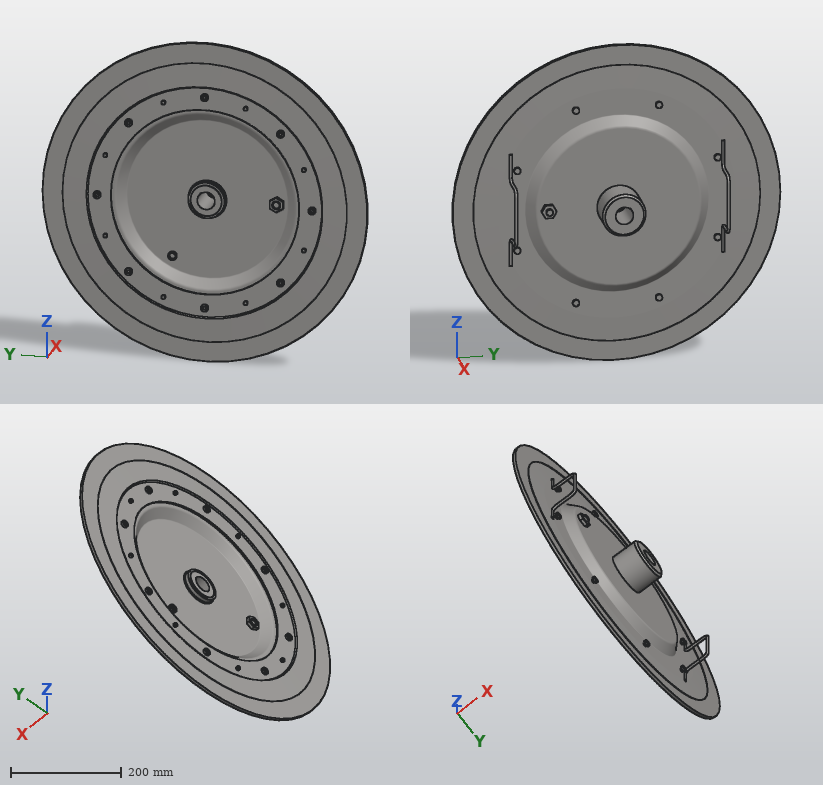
import cadquery as cq
import math


disc_radius = 302.5
seal_half_thickness = 3.0

cover_radius = 265.0
edge_half_thickness = 3.95
lip_radius = 220.0
lip_half_thickness = 5.2
recess_radius = 218.0
recess_front_x = -2.5
sheet_thickness = 4.0
flange_back_x = lip_half_thickness
flange_front_x = flange_back_x - sheet_thickness
recess_inner_radius = 175.5
floor_back_x = 22.5
floor_front_x = floor_back_x - sheet_thickness
dish_mouth_radius = 167.5
dish_mouth_outer_bend = 6.5
dish_mouth_inner_bend = dish_mouth_outer_bend - sheet_thickness
dish_floor_inner_bend = 3.0
dish_floor_outer_bend = dish_floor_inner_bend + sheet_thickness

hub_radius = 40.0
hub_back_x = 76.0
hub_chamfer = 4.0
collar_foot_radius = 35.5
collar_foot_x = 16.5
collar_radius = 34.0
collar_front_x = 8.5
collar_face_radius = 29.0
collar_face_x = 6.5
hub_bore_radius = 16.5

fastener_pairs = 8
bolt_circle_radius = 200.0
bolt_front_x = -6.5
screw_head_radius = 6.5
screw_socket_radius = 3.0
screw_socket_depth = 2.5
stud_radius = 3.5
stud_nut_radius = 6.0
stud_nut_front_x = 8.5
stud_back_x = 13.0

fitting_circle_radius = 129.5
plug_nut_width = 24.0
plug_nut_height = 6.5
plug_radius = 6.0
plug_back_x = 34.0
plug_socket_radius = 8.0
plug_socket_depth = 0.5
plug_bore_radius = 6.0
plug_bore_depth = 1.0
tube_angle = -60.0
tube_radius = 8.0
tube_bore_radius = 6.0
tube_height = 5.0

handle_y = 196.0
handle_rod_radius = 2.55
handle_foot_x = 5.5
handle_grip_x = 57.0
handle_half_span = 54.5
handle_foot_end_z = 107.0
handle_bend_radius = 12.0


def rod_along_x(radius, start_x, end_x, y=0.0, z=0.0):
    return cq.Workplane("YZ", origin=(start_x, y, z)).circle(radius).extrude(end_x - start_x)


def hexagon_along_x(width, start_x, end_x, y, z, turn):
    """Hexagonal prism; with no turn two corners point along Y."""
    corner_diameter = width / math.cos(math.pi / 6)
    prism = cq.Workplane("YZ").polygon(6, corner_diameter).extrude(end_x - start_x)
    return prism.rotate((0, 0, 0), (1, 0, 0), turn).translate((start_x, y, z))


def point_on_circle(radius, angle):
    """Y and Z of a point at an angle from +Y towards +Z."""
    return radius * math.cos(math.radians(angle)), radius * math.sin(math.radians(angle))


def make_seal_ring():
    width = 2 * seal_half_thickness
    ring = cq.Workplane("YZ", origin=(-seal_half_thickness, 0, 0)).circle(disc_radius)
    return ring.circle(cover_radius).extrude(width)


def bend_points(corner, bend_radius, centre_side):
    """Flat end, middle and wall end of an arc that rounds a flat-to-45-degree-wall corner.

    centre_side is 1 where the arc centre lies towards +X, with the flat outside the corner,
    and -1 where it lies towards -X, with the flat inside the corner.
    """
    corner_x, corner_radius = corner
    setback = bend_radius * math.tan(math.pi / 8)
    flat_end = (corner_x, corner_radius + centre_side * setback)
    middle = (
        corner_x + centre_side * bend_radius * (1 - math.cos(math.pi / 8)),
        flat_end[1] - centre_side * bend_radius * math.sin(math.pi / 8),
    )
    wall_end = (
        corner_x + centre_side * setback * math.sqrt(0.5),
        corner_radius - centre_side * setback * math.sqrt(0.5),
    )
    return flat_end, middle, wall_end


def make_dished_cover():
    floor_radius = dish_mouth_radius - (floor_front_x - flange_front_x)
    skin_shift = sheet_thickness * math.tan(math.pi / 8)
    front_mouth = bend_points((flange_front_x, dish_mouth_radius), dish_mouth_outer_bend, 1)
    front_floor = bend_points((floor_front_x, floor_radius), dish_floor_inner_bend, -1)
    back_floor = bend_points((floor_back_x, floor_radius + skin_shift), dish_floor_outer_bend, -1)
    back_mouth = bend_points((flange_back_x, dish_mouth_radius + skin_shift), dish_mouth_inner_bend, 1)
    profile = (
        cq.Workplane("XY")
        .moveTo(-edge_half_thickness, cover_radius)
        .lineTo(-lip_half_thickness, lip_radius)
        .lineTo(recess_front_x, recess_radius)
        .lineTo(recess_front_x, recess_inner_radius)
        .lineTo(flange_front_x, recess_inner_radius)
        .lineTo(*front_mouth[0])
        .threePointArc(front_mouth[1], front_mouth[2])
        .lineTo(*front_floor[2])
        .threePointArc(front_floor[1], front_floor[0])
        .lineTo(floor_front_x, 0)
        .lineTo(floor_back_x, 0)
        .lineTo(*back_floor[0])
        .threePointArc(back_floor[1], back_floor[2])
        .lineTo(*back_mouth[2])
        .threePointArc(back_mouth[1], back_mouth[0])
        .lineTo(lip_half_thickness, lip_radius)
        .lineTo(edge_half_thickness, cover_radius)
        .close()
    )
    return profile.revolve(360, (0, 0, 0), (1, 0, 0))


def make_hub():
    hub = rod_along_x(hub_radius, floor_front_x, hub_back_x).faces(">X").chamfer(hub_chamfer)
    collar_steps = [
        (collar_foot_radius, collar_foot_x),
        (collar_radius, collar_front_x),
        (collar_face_radius, collar_face_x),
    ]
    for radius, front_x in collar_steps:
        hub = hub.union(rod_along_x(radius, front_x, floor_back_x))
    return hub


def make_socket_screw(angle):
    y, z = point_on_circle(bolt_circle_radius, angle)
    head = rod_along_x(screw_head_radius, bolt_front_x, flange_back_x, y, z)
    socket = rod_along_x(screw_socket_radius, bolt_front_x, bolt_front_x + screw_socket_depth, y, z)
    return head.cut(socket)


def make_stud(angle):
    y, z = point_on_circle(bolt_circle_radius, angle)
    shank = rod_along_x(stud_radius, bolt_front_x, stud_back_x, y, z)
    return shank.union(rod_along_x(stud_nut_radius, stud_nut_front_x, stud_back_x, y, z))


def make_plug():
    y, z = point_on_circle(fitting_circle_radius, 180)
    front_x = floor_front_x - plug_nut_height
    front_nut = hexagon_along_x(plug_nut_width, front_x, floor_back_x, y, z, 90)
    back_nut = hexagon_along_x(plug_nut_width, floor_front_x, floor_back_x + plug_nut_height, y, z, 0)
    tip = rod_along_x(plug_radius, floor_back_x, plug_back_x, y, z)
    socket = rod_along_x(plug_socket_radius, front_x, front_x + plug_socket_depth, y, z)
    bore = rod_along_x(plug_bore_radius, front_x, front_x + plug_bore_depth, y, z)
    return front_nut.union(back_nut).union(tip).cut(socket).cut(bore)


def make_tube():
    y, z = point_on_circle(fitting_circle_radius, tube_angle)
    front_x = floor_front_x - tube_height
    tube = rod_along_x(tube_radius, front_x, floor_back_x, y, z)
    return tube.cut(rod_along_x(tube_bore_radius, front_x, floor_front_x, y, z))


def make_handle(y):
    bend = handle_bend_radius
    bend_mid = bend * (1 - math.sqrt(0.5))
    span = handle_half_span
    foot_x = handle_foot_x
    grip_x = handle_grip_x
    path = (
        cq.Workplane("XZ", origin=(0, y, 0))
        .moveTo(foot_x, handle_foot_end_z)
        .lineTo(foot_x, span + bend)
        .threePointArc((foot_x + bend_mid, span + bend_mid), (foot_x + bend, span))
        .lineTo(grip_x - bend, span)
        .threePointArc((grip_x - bend_mid, span - bend_mid), (grip_x, span - bend))
        .lineTo(grip_x, bend - span)
        .threePointArc((grip_x - bend_mid, bend_mid - span), (grip_x - bend, -span))
        .lineTo(foot_x + bend, -span)
        .threePointArc((foot_x + bend_mid, -span - bend_mid), (foot_x, -span - bend))
        .lineTo(foot_x, -handle_foot_end_z)
    )
    section = cq.Workplane("XY", origin=(foot_x, y, handle_foot_end_z)).circle(handle_rod_radius)
    return section.sweep(path)


seal_ring = make_seal_ring()

cover = make_dished_cover().union(make_hub())
for index in range(fastener_pairs):
    screw_angle = index * 360 / fastener_pairs
    stud_angle = screw_angle + 180 / fastener_pairs
    cover = cover.union(make_socket_screw(screw_angle)).union(make_stud(stud_angle))
cover = cover.union(make_plug()).union(make_tube())
for handle_side in (-1, 1):
    cover = cover.union(make_handle(handle_side * handle_y))
cover = cover.cut(rod_along_x(hub_bore_radius, collar_face_x, hub_back_x))

result = cq.Compound.makeCompound([seal_ring.val(), *cover.solids().vals()])